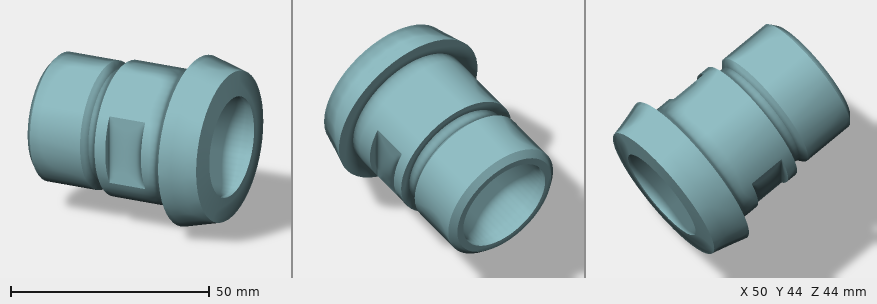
import cadquery as cq

total_length = 50.0
spigot_chamfer = 1.5
groove_start = 17.0
spigot_end = groove_start - spigot_chamfer
body_start = 20.0
flange_start = 40.0
cone_end = 49.45

bore_diameter = 26.0
spigot_diameter = 33.25
groove_diameter = 29.8
body_diameter = 35.0
flange_diameter = 44.0
cone_end_diameter = 39.0

flat_start = 23.0
flat_length = 10.0
flat_spacing = 30.0


def turned_body():
    """Revolve the half-section about X; the end face slopes from the cone edge to the bore."""
    bore_radius = bore_diameter / 2
    spigot_radius = spigot_diameter / 2
    groove_radius = groove_diameter / 2
    body_radius = body_diameter / 2
    profile = [
        (0, bore_radius),
        (0, groove_radius),
        (spigot_chamfer, spigot_radius),
        (spigot_end, spigot_radius),
        (groove_start, groove_radius),
        (body_start, groove_radius),
        (body_start, body_radius),
        (flange_start, body_radius),
        (flange_start, flange_diameter / 2),
        (cone_end, cone_end_diameter / 2),
        (total_length, bore_radius),
    ]
    return cq.Workplane("XY").polyline(profile).close().revolve(360, (0, 0), (1, 0))


def flat_cutter(side):
    """Block outside one wrench flat; side is -1 or 1 along Y."""
    depth = body_diameter
    center_y = side * (flat_spacing + depth) / 2
    return cq.Workplane("XY").box(flat_length, depth, body_diameter).translate(
        (flat_start + flat_length / 2, center_y, 0)
    )


result = turned_body()
for side in (-1, 1):
    result = result.cut(flat_cutter(side))